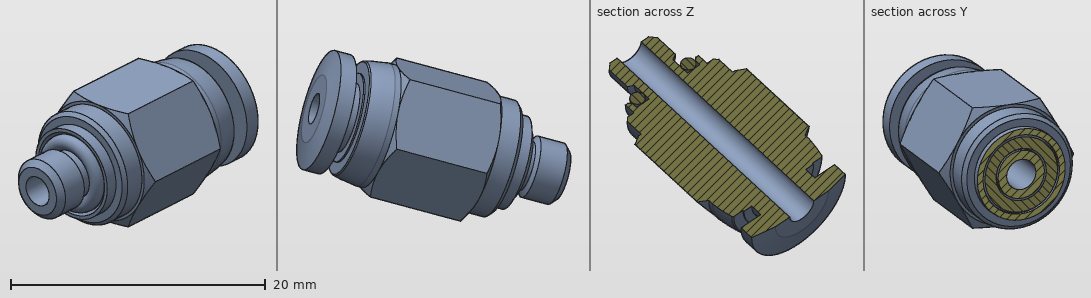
import cadquery as cq
import math

length = 20.85
thread_end = -length / 2
button_end = length / 2

bore_radius = 1.23
thread_radius = 2.5
neck_radius = 2.0
tip_chamfer = 0.5
thread_top = thread_end + 2.71
relief_length = 0.27

collar_radius = 3.8
collar_face = thread_end + 3.96
flange_radius = 4.75
flange_chamfer = 0.31
flange_face = thread_end + 4.98

across_flats = 10.0
flat_radius = across_flats / 2
corner_radius = flat_radius / math.cos(math.radians(30))
hex_start = thread_end + 6.96
hex_end = button_end - 5.4
corner_chamfer_angle = 30.0
corner_chamfer_depth = (corner_radius - flat_radius) * math.tan(math.radians(corner_chamfer_angle))

ring_band_end = hex_end + 0.5
ring_end = button_end - 2.9
ring_end_radius = 4.67
ring_middle_radius = 4.88
ring_edge_chamfer = 0.1
lip_radius = 3.6
lip_end = ring_end + 0.13

stem_radius = 2.81
button_radius = 4.85
button_crown_radius = 2.75
button_crown_height = 0.4
button_underside = button_end - 1.7

oring_section_radius = 0.63
oring_centre_radius = neck_radius + oring_section_radius
oring_outer_radius = oring_centre_radius + oring_section_radius
oring_sunk = 0.13
oring_centre_y = collar_face + oring_sunk
groove_floor = oring_centre_y + oring_section_radius
groove_chamfer = 0.25


def revolve_about_y(profile):
    """Revolve a closed (radius, Y) profile a full turn about the Y axis."""
    return profile.close().revolve(360, (0, 0, 0), (0, 1, 0))


def make_threaded_end():
    """Stud, neck, O-ring groove, collar and flange up to the hexagon."""
    return revolve_about_y(
        cq.Workplane("XY")
        .moveTo(0, thread_end)
        .lineTo(thread_radius - tip_chamfer, thread_end)
        .lineTo(thread_radius, thread_end + tip_chamfer)
        .lineTo(thread_radius, thread_top)
        .lineTo(neck_radius, thread_top + relief_length)
        .lineTo(neck_radius, groove_floor)
        .lineTo(oring_outer_radius, groove_floor)
        .lineTo(oring_outer_radius, collar_face + groove_chamfer)
        .lineTo(oring_outer_radius + groove_chamfer, collar_face)
        .lineTo(collar_radius, collar_face)
        .lineTo(collar_radius, flange_face)
        .lineTo(flange_radius - flange_chamfer, flange_face)
        .lineTo(flange_radius, flange_face + flange_chamfer)
        .lineTo(flange_radius, hex_start)
        .lineTo(0, hex_start)
    )


def make_hexagon():
    """Hexagonal prism with its corners turned down conically at both ends."""
    prism = (
        cq.Workplane("XZ", origin=(0, hex_end, 0))
        .polygon(6, 2 * corner_radius)
        .extrude(hex_end - hex_start)
    )
    turned = revolve_about_y(
        cq.Workplane("XY")
        .moveTo(0, hex_start)
        .lineTo(flat_radius, hex_start)
        .lineTo(corner_radius, hex_start + corner_chamfer_depth)
        .lineTo(corner_radius, hex_end - corner_chamfer_depth)
        .lineTo(flat_radius, hex_end)
        .lineTo(0, hex_end)
    )
    return prism.intersect(turned)


def make_button_end():
    """Clamp ring, lip, stem and crowned release button."""
    bulge_end = ring_end - ring_edge_chamfer
    return revolve_about_y(
        cq.Workplane("XY")
        .moveTo(0, hex_end)
        .lineTo(flat_radius, hex_end)
        .lineTo(flat_radius, ring_band_end)
        .threePointArc(
            (ring_middle_radius, (ring_band_end + bulge_end) / 2),
            (ring_end_radius, bulge_end),
        )
        .lineTo(ring_end_radius - ring_edge_chamfer, ring_end)
        .lineTo(lip_radius, ring_end)
        .lineTo(lip_radius, lip_end)
        .lineTo(stem_radius, lip_end)
        .lineTo(stem_radius, button_underside)
        .lineTo(button_radius, button_underside)
        .lineTo(button_radius, button_end - button_crown_height)
        .lineTo(button_crown_radius, button_end)
        .lineTo(0, button_end)
    )


def make_fitting():
    """Whole turned and hexagonal body with its through bore."""
    bore = cq.Workplane("XZ", origin=(0, button_end, 0)).circle(bore_radius).extrude(length)
    return make_threaded_end().union(make_hexagon()).union(make_button_end()).cut(bore)


def make_oring():
    """O-ring touching the neck, the groove floor and the groove wall."""
    return (
        cq.Workplane("XY")
        .center(oring_centre_radius, oring_centre_y)
        .circle(oring_section_radius)
        .revolve(360, (-oring_centre_radius, 0, 0), (-oring_centre_radius, 1, 0))
    )


fitting = make_fitting()
oring = make_oring()

result = cq.Compound.makeCompound([fitting.solids().val(), oring.val()])